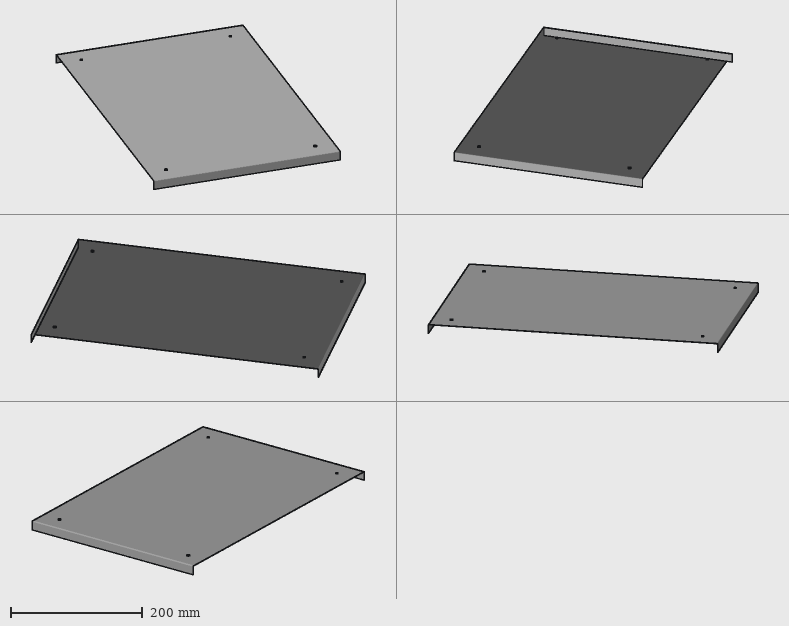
import cadquery as cq

length = 450.0
width = 300.0
height = 15.0

thickness = 1.0
bend_inner_radius = thickness
bend_outer_radius = bend_inner_radius + thickness

hole_edge_distance = 30.0
left_hole_diameter = 3.85
right_hole_diameter = 5.0
hole_x = length / 2 - hole_edge_distance
hole_y = width / 2 - hole_edge_distance


def folded_sheet():
    """Flat panel with a flange bent down along both short ends."""
    outer = cq.Workplane("XY").box(length, width, height, centered=(True, True, False))
    outer = outer.edges("|Y and >Z").fillet(bend_outer_radius)
    cavity = cq.Workplane("XY").box(
        length - 2 * thickness, width, height - thickness, centered=(True, True, False)
    )
    cavity = cavity.edges("|Y and >Z").fillet(bend_inner_radius)
    return outer.cut(cavity)


def hole_pair(x, diameter):
    """Cutters for two vertical through holes placed symmetrically across the width."""
    return (
        cq.Workplane("XY")
        .pushPoints([(x, -hole_y), (x, hole_y)])
        .circle(diameter / 2)
        .extrude(height)
    )


result = folded_sheet()
for x, diameter in ((-hole_x, left_hole_diameter), (hole_x, right_hole_diameter)):
    result = result.cut(hole_pair(x, diameter))